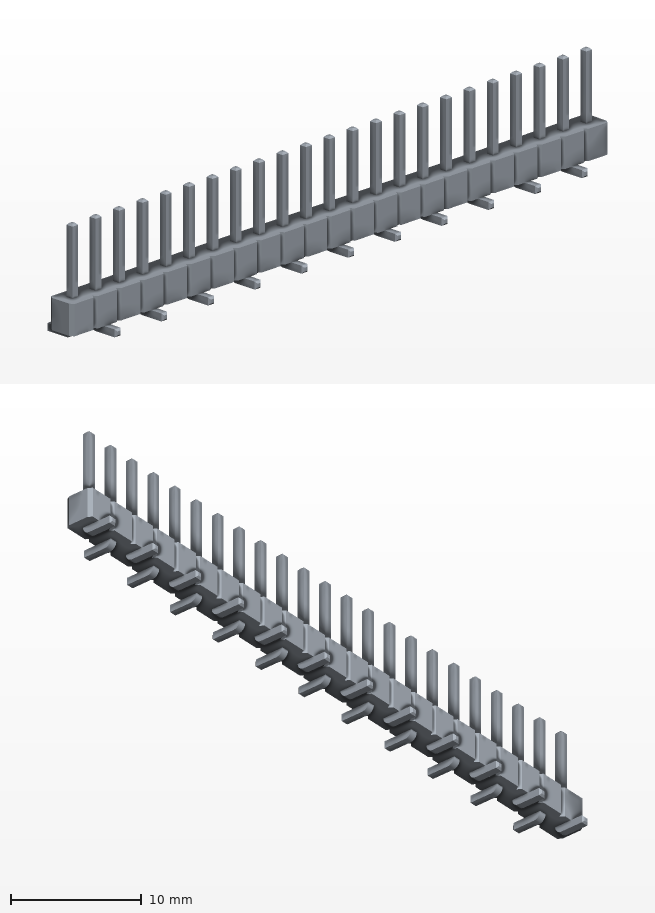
import cadquery as cq

pin_count = 23
overall_length = 58.4
overall_width = 5.0
overall_height = 9.3
pitch = overall_length / pin_count

housing_width = pitch
housing_height = 2.6
corner_cut_x = 0.35
corner_cut_y = 0.25

pin_size = 0.65
tip_chamfer = 0.16
bend_radius = pin_size


def housing_segment():
    """One eight-sided block of the housing, resting on top of the feet."""
    half_x = housing_width / 2
    half_y = pitch / 2
    flat_x = half_x - corner_cut_x
    flat_y = half_y - corner_cut_y
    outline = [
        (half_x, -flat_y),
        (half_x, flat_y),
        (flat_x, half_y),
        (-flat_x, half_y),
        (-half_x, flat_y),
        (-half_x, -flat_y),
        (-flat_x, -half_y),
        (flat_x, -half_y),
    ]
    base = cq.Workplane("XY").workplane(offset=pin_size)
    return base.polyline(outline).close().extrude(housing_height)


def bent_pin():
    """Square L-shaped pin with its foot toward -X and both tips chamfered."""
    foot_length = overall_width / 2 + pin_size / 2
    post = cq.Workplane("XY").box(pin_size, pin_size, overall_height, centered=(True, True, False))
    foot = (
        cq.Workplane("XY")
        .box(foot_length, pin_size, pin_size, centered=(False, True, False))
        .translate((-overall_width / 2, 0, 0))
    )
    pin = post.union(foot)
    pin = pin.faces(">Z").chamfer(tip_chamfer)
    pin = pin.faces("<X").chamfer(tip_chamfer)
    outer_corner = cq.selectors.NearestToPointSelector((pin_size / 2, 0, 0))
    return pin.edges("|Y").edges(outer_corner).fillet(bend_radius)


segment = housing_segment()
left_pin = bent_pin()
right_pin = left_pin.rotate((0, 0, 0), (0, 0, 1), 180)

result = cq.Workplane("XY")
for index in range(pin_count):
    y = (index - (pin_count - 1) / 2) * pitch
    pin = left_pin if index % 2 == 0 else right_pin
    result = result.union(segment.union(pin).translate((0, y, 0)))